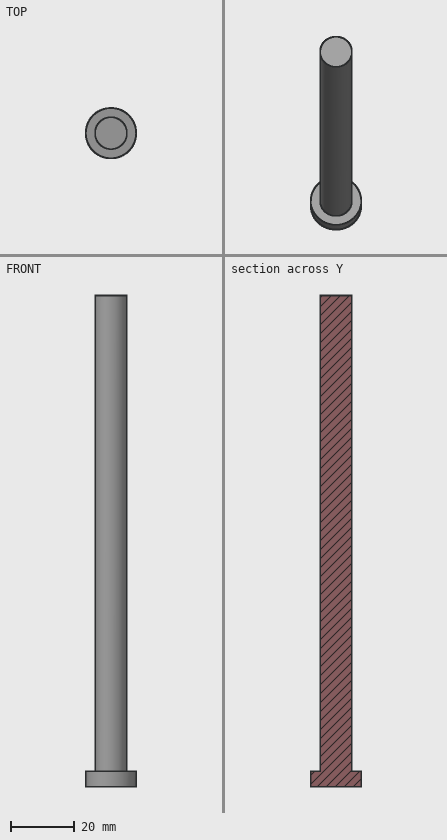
import cadquery as cq

total_length = 155.0
head_diameter = 16.0
head_height = 5.0
shank_diameter = 10.0

head = cq.Workplane("XY").circle(head_diameter / 2).extrude(head_height)

shank_length = total_length - head_height
result = head.faces(">Z").workplane().circle(shank_diameter / 2).extrude(shank_length)